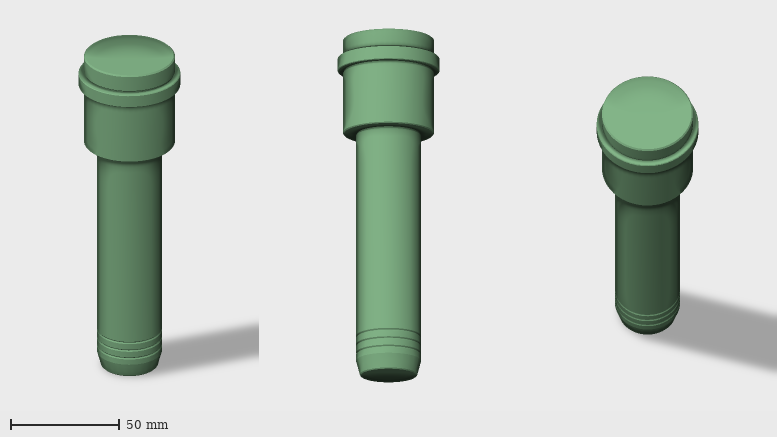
import cadquery as cq

total_height = 160.0
flange_diameter = 47.0
head_diameter = 42.0
shank_diameter = 30.0
tip_diameter = 26.5

flange_top = 151.0
flange_thickness = 6.2
head_length = 45.0
tip_length = 7.0

relief_floor = 0.6
relief_slope = 0.5
neck_width = 1.0
relief_depth = 0.5
groove_width = 1.1
groove_depth = 0.5
groove_count = 3
groove_pitch = 4.0
lowest_groove = 9.8
top_chamfer = 0.6
lower_chamfer = 0.5
flange_chamfer = 0.3

head_bottom = total_height - head_length
flange_bottom = flange_top - flange_thickness


def cylinder(diameter, bottom, top):
    """Solid cylinder on the Z axis between two levels."""
    return cq.Workplane("XY").workplane(offset=bottom).circle(diameter / 2).extrude(top - bottom)


def ring_cut(diameter, bottom, width, depth):
    """Ring that cuts a groove of the given depth into a cylinder."""
    outer = cylinder(diameter + 2 * depth, bottom, bottom + width)
    return outer.cut(cylinder(diameter - 2 * depth, bottom, bottom + width))


def vee_cut(diameter, bottom, width, depth):
    """Ring that cuts a V-shaped groove into a cylinder."""
    radius = diameter / 2
    profile = (
        cq.Workplane("XZ")
        .moveTo(radius, bottom)
        .lineTo(radius - depth, bottom + width / 2)
        .lineTo(radius, bottom + width)
        .lineTo(radius + depth, bottom + width / 2)
        .close()
    )
    return profile.revolve(360, (0, 0, 0), (0, 1, 0))


def conical_tip():
    """Lead-in tip with a conical side."""
    tip_radius = tip_diameter / 2
    shank_radius = shank_diameter / 2
    profile = (
        cq.Workplane("XZ")
        .lineTo(tip_radius - lower_chamfer, 0)
        .lineTo(tip_radius, lower_chamfer)
        .lineTo(shank_radius, tip_length)
        .lineTo(0, tip_length)
        .close()
    )
    return profile.revolve(360, (0, 0, 0), (0, 1, 0))


head = cylinder(head_diameter, head_bottom, total_height)
head = head.faces(">Z").chamfer(top_chamfer).faces("<Z").chamfer(lower_chamfer)
for flange_face, outward in ((flange_top, 1), (flange_bottom, -1)):
    floor_end = flange_face + outward * relief_floor
    floor_bottom = min(flange_face, floor_end)
    head = head.cut(ring_cut(head_diameter, floor_bottom, relief_floor, relief_depth))
    head = head.cut(vee_cut(head_diameter, floor_end - relief_slope, 2 * relief_slope, relief_depth))
flange = cylinder(flange_diameter, flange_bottom, flange_top).faces("<Z or >Z").chamfer(flange_chamfer)

shank = cylinder(shank_diameter, tip_length, head_bottom)
shank = shank.cut(ring_cut(shank_diameter, head_bottom - neck_width, neck_width, relief_depth))
for index in range(groove_count):
    groove_bottom = lowest_groove + index * groove_pitch
    shank = shank.cut(vee_cut(shank_diameter, groove_bottom, groove_width, groove_depth))

result = head.union(flange).union(shank).union(conical_tip())